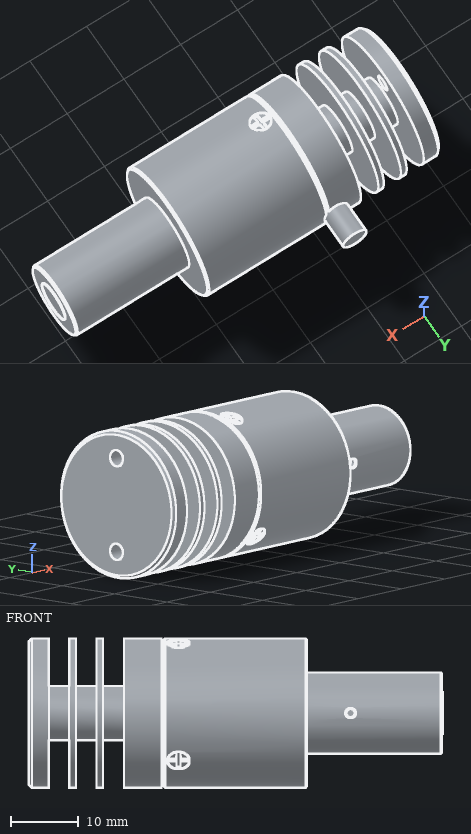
import cadquery as cq
import math

body_diameter = 22.0
body_radius = body_diameter / 2
core_radius = 4.0
shaft_diameter = 12.0
shaft_radius = shaft_diameter / 2
front_disc_end = 3.0
fin_spans = [(6.0, 7.0), (10.0, 11.0)]
body_start = 14.0
groove_start = 19.6
groove_end = 19.9
groove_depth = 0.25
body_end = 41.0
overall_length = 61.0
end_disc_height = 0.1
end_disc_radius = 3.1
front_chamfer = 0.5
body_chamfer = 0.25
shaft_chamfer = 0.25

pin_x = 18.4
pin_radius = 2.1
overall_width = 27.0
pin_tip_y = overall_width - body_radius

face_hole_diameter = 2.45
face_hole_spacing = 14.0
face_hole_depth = front_disc_end

screw_x = 22.1
screw_radius = 1.65
screw_angles = [-40, 70]
screw_head_depth = 0.1
axial_slot_length = 2.9
screw_slot_width = 0.6
screw_slot_depth = 0.5

shaft_hole_x = 47.4
shaft_hole_radius = 0.6
shaft_hole_depth = 1.0
countersink_radius = 0.8


def cylinder_along_x(radius, start, end):
    return cq.Workplane("YZ").workplane(offset=start).circle(radius).extrude(end - start)


def make_front_section():
    disc = cylinder_along_x(body_radius, 0, front_disc_end).faces("<X").chamfer(front_chamfer)
    section = disc.union(cylinder_along_x(core_radius, 0, body_start))
    for start, end in fin_spans:
        section = section.union(cylinder_along_x(body_radius, start, end))
    return section


def make_body():
    collar = cylinder_along_x(body_radius, body_start, groove_start)
    groove_floor = cylinder_along_x(body_radius - groove_depth, groove_start, groove_end)
    sleeve = cylinder_along_x(body_radius, groove_end, body_end).faces("<X or >X").chamfer(body_chamfer)
    return collar.union(groove_floor).union(sleeve)


def make_shaft():
    """Chamfered shaft with a thin raised disc on its end."""
    shaft_end = overall_length - end_disc_height
    shaft = cylinder_along_x(shaft_radius, body_end, shaft_end).faces(">X").chamfer(shaft_chamfer)
    return shaft.union(cylinder_along_x(end_disc_radius, shaft_end, overall_length))


def make_side_pin():
    return cq.Workplane("XZ", origin=(pin_x, 0, 0)).circle(pin_radius).extrude(-pin_tip_y)


def make_face_holes():
    return (
        cq.Workplane("YZ")
        .pushPoints([(0, -face_hole_spacing / 2), (0, face_hole_spacing / 2)])
        .circle(face_hole_diameter / 2)
        .extrude(face_hole_depth)
    )


def make_screw_recess(angle):
    """Round pocket down to the flat screw head, plus the cross slot in the head."""
    head_level = math.sqrt(body_radius**2 - screw_radius**2) - screw_head_depth
    pocket = cq.Workplane("XZ", origin=(screw_x, -head_level, 0)).circle(screw_radius)
    recess = pocket.extrude(body_radius - head_level)
    slot_plane = cq.Workplane("XZ", origin=(screw_x, screw_slot_depth - head_level, 0))
    for length, height in [(axial_slot_length, screw_slot_width), (screw_slot_width, 2 * screw_radius)]:
        recess = recess.union(slot_plane.rect(length, height).extrude(screw_slot_depth))
    return recess.rotate((0, 0, 0), (1, 0, 0), -angle)


def make_shaft_hole():
    countersink_depth = countersink_radius - shaft_hole_radius
    hole = (
        cq.Workplane("XZ", origin=(shaft_hole_x, shaft_hole_depth - shaft_radius, 0))
        .circle(shaft_hole_radius)
        .extrude(shaft_hole_depth)
    )
    countersink = (
        cq.Workplane("XZ", origin=(shaft_hole_x, -shaft_radius, 0))
        .circle(countersink_radius)
        .workplane(offset=-countersink_depth)
        .circle(shaft_hole_radius)
        .loft()
    )
    return hole.union(countersink)


result = make_front_section().union(make_body()).union(make_shaft()).union(make_side_pin())
result = result.cut(make_face_holes()).cut(make_shaft_hole())
for screw_angle in screw_angles:
    result = result.cut(make_screw_recess(screw_angle))